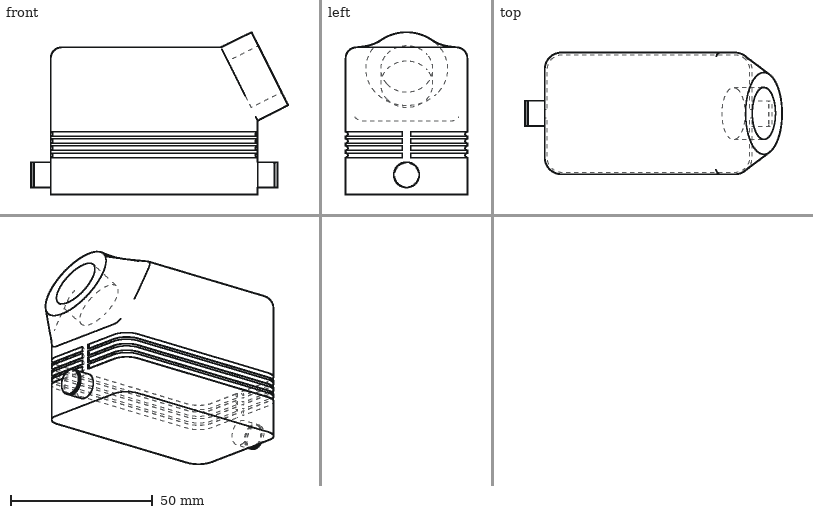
import cadquery as cq
import math

OVERALL_LENGTH = 90.7

BODY_WIDTH = 43.0
BODY_HEIGHT = 52.0
CORNER_RADIUS = 6.0
TOP_FILLET = 4.0

OUTLET_SETBACK = 13.0
OUTLET_TILT = math.atan(0.5)

OUTLET_LENGTH = 12.1
OUTLET_DIAMETER = 28.85
BORE_DIAMETER = 18.3
BORE_DEPTH = OUTLET_LENGTH

GROOVE_COUNT = 4
GROOVE_RADIUS = 0.8
GROOVE_LAND = 0.89
LOWEST_GROOVE_Z = 13.9
GROOVE_GAP = 3.0

PIN_DIAMETER = 9.0
PIN_LENGTH = 7.0
PIN_HEIGHT = 7.0
PIN_HEAD = 0.9
PIN_RING_WIDTH = 0.3
PIN_RING_DEPTH = 0.3

OUTLET_OVERHANG = (
    OUTLET_LENGTH * math.cos(OUTLET_TILT)
    + OUTLET_DIAMETER / 2 * math.sin(OUTLET_TILT)
    - OUTLET_SETBACK / 2
)
BODY_LENGTH = OVERALL_LENGTH - PIN_LENGTH - OUTLET_OVERHANG
END_X = BODY_LENGTH / 2
GROOVE_PITCH = 2 * GROOVE_RADIUS + GROOVE_LAND
SHOULDER_DROP = OUTLET_SETBACK / math.tan(OUTLET_TILT)
SHOULDER_CENTRE = (END_X - OUTLET_SETBACK / 2, 0, BODY_HEIGHT - SHOULDER_DROP / 2)
OUTLET_AXIS = (math.cos(OUTLET_TILT), 0, math.sin(OUTLET_TILT))


def rounded_block():
    """Plain hood: rounded upright corners and a rounded top edge."""
    block = cq.Workplane("XY").box(BODY_LENGTH, BODY_WIDTH, BODY_HEIGHT, centered=(True, True, False))
    return block.edges("|Z").fillet(CORNER_RADIUS).faces(">Z").edges().fillet(TOP_FILLET)


def cut_shoulder(body):
    """Slice the upper +X corner off along the plane square to the outlet axis."""
    wedge = (
        cq.Workplane("XZ")
        .moveTo(END_X - OUTLET_SETBACK, BODY_HEIGHT)
        .lineTo(END_X + OUTLET_SETBACK, BODY_HEIGHT)
        .lineTo(END_X + OUTLET_SETBACK, BODY_HEIGHT - 2 * SHOULDER_DROP)
        .close()
        .extrude(BODY_WIDTH, both=True)
    )
    return body.cut(wedge)


def mouth_workplane():
    """Workplane on the outlet mouth, facing along the outlet axis."""
    shoulder_plane = cq.Plane(origin=SHOULDER_CENTRE, xDir=(0, 1, 0), normal=OUTLET_AXIS)
    return cq.Workplane(shoulder_plane).workplane(offset=OUTLET_LENGTH)


def outlet(body):
    """Ruled transition from the shoulder outline to the round mouth."""
    shoulder = body.faces(cq.selectors.NearestToPointSelector(SHOULDER_CENTRE)).val()
    mouth = mouth_workplane().circle(OUTLET_DIAMETER / 2).ctx.pendingWires[0]
    return cq.Workplane(cq.Solid.makeLoft([shoulder.outerWire(), mouth], True))


def outlet_bore():
    """Round cable hole running straight in from the mouth."""
    return mouth_workplane().circle(BORE_DIAMETER / 2).extrude(-BORE_DEPTH)


def groove(height):
    """Half-round groove around the body, interrupted in the middle of both end faces."""
    outline = cq.Workplane("XY", origin=(0, 0, height)).rect(BODY_LENGTH, BODY_WIDTH)
    path = cq.Workplane(outline.val().fillet2D(CORNER_RADIUS, outline.vertices().vals()))
    start = cq.Workplane("YZ", origin=(0, -BODY_WIDTH / 2, height))
    ring = start.circle(GROOVE_RADIUS).sweep(path)
    gap = cq.Workplane("XY", origin=(0, 0, height)).box(2 * BODY_LENGTH, GROOVE_GAP, 2 * GROOVE_PITCH)
    return ring.cut(gap)


def pin(side):
    """Locking pin with a fine ring groove behind its head; side is +1 or -1 along X."""
    radius = PIN_DIAMETER / 2
    head_start = PIN_LENGTH - PIN_HEAD
    base = cq.Workplane("YZ", origin=(side * END_X, 0, PIN_HEIGHT))
    shank = base.circle(radius).extrude(side * PIN_LENGTH)
    ring = (
        base.workplane(offset=side * head_start)
        .circle(radius)
        .circle(radius - PIN_RING_DEPTH)
        .extrude(-side * PIN_RING_WIDTH)
    )
    return shank.cut(ring)


result = cut_shoulder(rounded_block())
result = result.union(outlet(result)).cut(outlet_bore())
for index in range(GROOVE_COUNT):
    result = result.cut(groove(LOWEST_GROOVE_Z + index * GROOVE_PITCH))
for side in (-1, 1):
    result = result.union(pin(side))